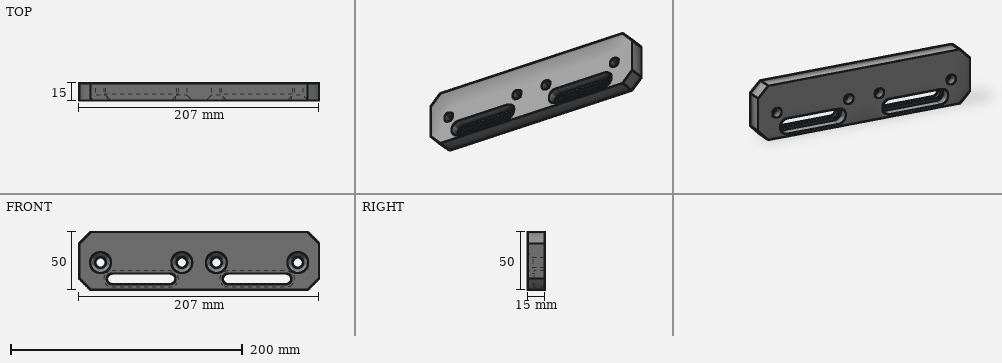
import cadquery as cq

length = 207.0
thickness = 15.0
height = 50.0
corner_chamfer = 10.0

hole_diameter = 9.0
countersink_diameter = 18.0
countersink_angle = 90.0
hole_z = -1.5
inner_hole_x = 15.0
outer_hole_x = 85.0

slot_length = 59.0
slot_width = 9.0
slot_x = (inner_hole_x + outer_hole_x) / 2
slot_z = -15.5

recess_width = 14.0
recess_length = slot_length + recess_width - slot_width
slot_lip = 5.5
recess_depth = thickness - slot_lip


def mirrored_points(x_distances, z):
    """Points at each distance on both sides of the middle."""
    return [(side * x, z) for x in x_distances for side in (-1, 1)]


def front_plane(body):
    """Workplane on the front face, with its origin at the plate centre."""
    return body.faces("<Y").workplane(origin=(0, 0, 0))


plate = cq.Workplane("XY").box(length, thickness, height)
plate = plate.edges("|Y").chamfer(corner_chamfer)

drilled = (
    front_plane(plate)
    .pushPoints(mirrored_points([inner_hole_x, outer_hole_x], hole_z))
    .cskHole(hole_diameter, countersink_diameter, countersink_angle)
)

slotted = (
    front_plane(drilled)
    .pushPoints(mirrored_points([slot_x], slot_z))
    .slot2D(slot_length, slot_width)
    .cutThruAll()
)

result = (
    slotted.faces(">Y")
    .workplane(origin=(0, 0, 0))
    .pushPoints(mirrored_points([slot_x], slot_z))
    .slot2D(recess_length, recess_width)
    .cutBlind(-recess_depth)
)